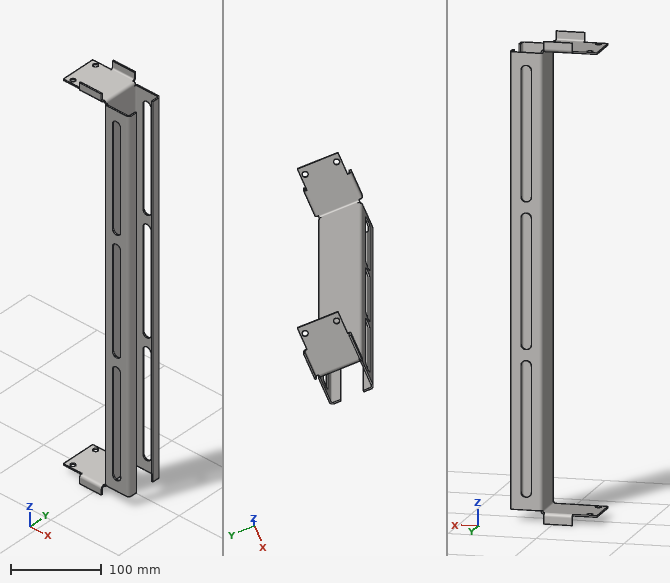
import cadquery as cq

HEIGHT = 545.0
LENGTH = 98.5
LUG_SPAN = 56.5

SHEET = 2.0
INNER_BEND = 2.0
OUTER_BEND = INNER_BEND + SHEET

CHANNEL_WIDTH = 52.5
WEB_X = 61.5
LIP_LENGTH = 12.5

PLATE_WIDTH = LUG_SPAN - 2 * OUTER_BEND
PLATE_SPAN = 525.0
LUG_START_X = 27.0
PLATE_OUTER_Z = PLATE_SPAN / 2
BEND_START_X = WEB_X - INNER_BEND
CHANNEL_HEIGHT = 2 * (PLATE_OUTER_Z - OUTER_BEND)

SLOT_WIDTH = 12.0
SLOT_LENGTH = 154.0
SLOT_PITCH = 167.0
SLOT_COUNT = 3
SLOT_X = 80.0
HOLE_DIAMETER = 6.5
HOLE_X = 9.0
HOLE_SPACING = 37.5


def centred_box(x_start, x_end, y_size, z_size):
    """Box between two X positions, centred on Y and Z."""
    box = cq.Workplane("XY").box(x_end - x_start, y_size, z_size, centered=(False, True, True))
    return box.translate((x_start, 0, 0))


def channel():
    """Lipped channel with rounded bends, running along Z."""
    outer = centred_box(WEB_X, LENGTH, CHANNEL_WIDTH, CHANNEL_HEIGHT).edges("|Z").fillet(OUTER_BEND)
    inner = centred_box(WEB_X + SHEET, LENGTH - SHEET, CHANNEL_WIDTH - 2 * SHEET, CHANNEL_HEIGHT)
    inner = inner.edges("|Z").fillet(INNER_BEND)
    mouth = centred_box(LENGTH - OUTER_BEND, LENGTH, CHANNEL_WIDTH - 2 * LIP_LENGTH, CHANNEL_HEIGHT)
    return outer.cut(inner).cut(mouth)


def end_plate():
    """Upper plate together with the bend that joins it to the web."""
    plate_inner_z = PLATE_OUTER_Z - SHEET
    bend_end_z = PLATE_OUTER_Z - OUTER_BEND
    web_inner_x = WEB_X + SHEET
    return (
        cq.Workplane("XZ")
        .moveTo(0, PLATE_OUTER_Z)
        .lineTo(BEND_START_X, PLATE_OUTER_Z)
        .radiusArc((web_inner_x, bend_end_z), OUTER_BEND)
        .lineTo(WEB_X, bend_end_z)
        .radiusArc((BEND_START_X, plate_inner_z), -INNER_BEND)
        .lineTo(0, plate_inner_z)
        .close()
        .extrude(PLATE_WIDTH / 2, both=True)
    )


def lug():
    """Upper lug on the +Y side, bent outwards and up from the plate edge."""
    edge_y = PLATE_WIDTH / 2
    outer_y = LUG_SPAN / 2
    plate_inner_z = PLATE_OUTER_Z - SHEET
    bend_end_z = plate_inner_z + OUTER_BEND
    return (
        cq.Workplane("YZ", origin=(LUG_START_X, 0, 0))
        .moveTo(edge_y, plate_inner_z)
        .radiusArc((outer_y, bend_end_z), -OUTER_BEND)
        .lineTo(outer_y, HEIGHT / 2)
        .lineTo(outer_y - SHEET, HEIGHT / 2)
        .lineTo(outer_y - SHEET, bend_end_z)
        .radiusArc((edge_y, PLATE_OUTER_Z), INNER_BEND)
        .close()
        .extrude(BEND_START_X - LUG_START_X)
    )


def flange_slots():
    """Slots in a column, passing through both flanges."""
    return (
        cq.Workplane("XZ", origin=(SLOT_X, 0, 0))
        .rarray(5.5, SLOT_PITCH, 1, SLOT_COUNT)
        .slot2D(SLOT_LENGTH, SLOT_WIDTH, angle=90)
        .extrude(CHANNEL_WIDTH, both=True)
    )


def screw_holes():
    """Pair of holes near the free edge, passing through both end plates."""
    return (
        cq.Workplane("XY", origin=(HOLE_X, 0, 0))
        .rarray(5.5, HOLE_SPACING, 1, 2)
        .circle(HOLE_DIAMETER / 2)
        .extrude(HEIGHT, both=True)
    )


upper_end = end_plate().union(lug()).union(lug().mirror("XZ"))
lower_end = upper_end.mirror("XY")
result = channel().union(upper_end).union(lower_end)
result = result.cut(flange_slots()).cut(screw_holes())